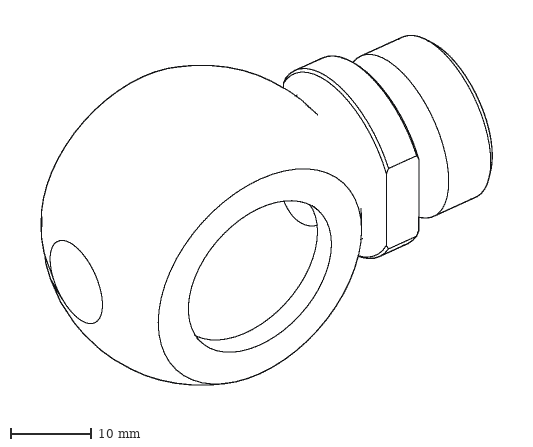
import cadquery as cq
import math

ball_radius = 20.0
head_width = 25.0
overall_length = 56.7
front_flat_diameter = 11.15
eye_diameter = 22.0

chamber_radius = 15.75
chamber_width = 7.7
chamber_mouth_width = 19.05

stub_diameter = 22.0
neck_diameter = 19.7
passage_diameter = 12.0
end_chamfer = 0.9
land_end_distance = 7.35
taper_angle = math.radians(30)
neck_fillet = 1.0

collar_diameter = 25.5
collar_start_distance = 11.95
collar_width = 5.0
collar_chamfer = 0.35
wrench_width = 22.0

front_y = -math.sqrt(ball_radius**2 - (front_flat_diameter / 2) ** 2)
end_y = front_y + overall_length
collar_outer_y = end_y - collar_start_distance
collar_inner_y = collar_outer_y - collar_width


def make_head():
    """Ball trimmed flat on both eye faces and at the front."""
    envelope = cq.Workplane("XY").box(head_width, overall_length, 2 * ball_radius)
    envelope = envelope.translate((0, front_y + overall_length / 2, 0))
    return cq.Workplane("XY").sphere(ball_radius).intersect(envelope)


def make_stub():
    """Turned stub with a tapered land and two necks, blended into the ball."""
    land_radius = stub_diameter / 2
    neck_radius = neck_diameter / 2
    land_end_y = end_y - land_end_distance

    taper_end_radius = neck_radius + neck_fillet * (1 - math.cos(taper_angle))
    taper_end_y = land_end_y - (land_radius - taper_end_radius) / math.tan(taper_angle)
    neck_start_y = taper_end_y - neck_fillet * math.sin(taper_angle)

    blend_center_radius = neck_radius + neck_fillet
    blend_center_distance = ball_radius + neck_fillet
    blend_center_y = math.sqrt(blend_center_distance**2 - blend_center_radius**2)
    touch_ratio = ball_radius / blend_center_distance
    touch_point = (blend_center_radius * touch_ratio, blend_center_y * touch_ratio)

    profile = (
        cq.Workplane("XY")
        .moveTo(0, end_y)
        .lineTo(land_radius - end_chamfer, end_y)
        .lineTo(land_radius, end_y - end_chamfer)
        .lineTo(land_radius, land_end_y)
        .lineTo(taper_end_radius, taper_end_y)
        .tangentArcPoint((neck_radius, neck_start_y), relative=False)
        .lineTo(neck_radius, collar_outer_y + neck_fillet)
        .tangentArcPoint((neck_radius + neck_fillet, collar_outer_y), relative=False)
        .lineTo(neck_radius + neck_fillet, collar_inner_y)
        .radiusArc((neck_radius, collar_inner_y - neck_fillet), -neck_fillet)
        .lineTo(neck_radius, blend_center_y)
        .tangentArcPoint(touch_point, relative=False)
        .lineTo(0, 0)
        .close()
    )
    return profile.revolve(360, (0, 0, 0), (0, 1, 0))


def make_collar():
    """Chamfered round collar cut to the wrench width."""
    disc = (
        cq.Workplane("XZ", origin=(0, collar_outer_y, 0))
        .circle(collar_diameter / 2)
        .extrude(collar_width)
        .edges()
        .chamfer(collar_chamfer)
    )
    flats = cq.Workplane("XY").box(wrench_width, collar_width, collar_diameter)
    return disc.intersect(flats.translate((0, collar_outer_y - collar_width / 2, 0)))


def make_eye_cutter():
    """Through bore with the wider ring chamber, revolved about X."""
    eye_radius = eye_diameter / 2
    half_head = head_width / 2
    half_mouth = chamber_mouth_width / 2
    half_chamber = chamber_width / 2
    rise = chamber_radius - eye_radius
    run = half_mouth - half_chamber

    side_radius = (run**2 + rise**2) / (2 * rise)
    outline = (
        cq.Workplane("XY")
        .moveTo(-half_head, 0)
        .lineTo(half_head, 0)
        .lineTo(half_head, eye_radius)
        .lineTo(half_mouth, eye_radius)
        .radiusArc((half_chamber, chamber_radius), -side_radius)
        .lineTo(-half_chamber, chamber_radius)
        .tangentArcPoint((-half_mouth, eye_radius), relative=False)
        .lineTo(-half_head, eye_radius)
        .close()
    )
    return outline.revolve(360, (0, 0, 0), (1, 0, 0))


def make_passage():
    """Round passage from the chamber out through the end of the stub."""
    return cq.Workplane("XZ").circle(passage_diameter / 2).extrude(-end_y)


body = make_head().union(make_stub()).union(make_collar())
result = body.cut(make_eye_cutter()).cut(make_passage())